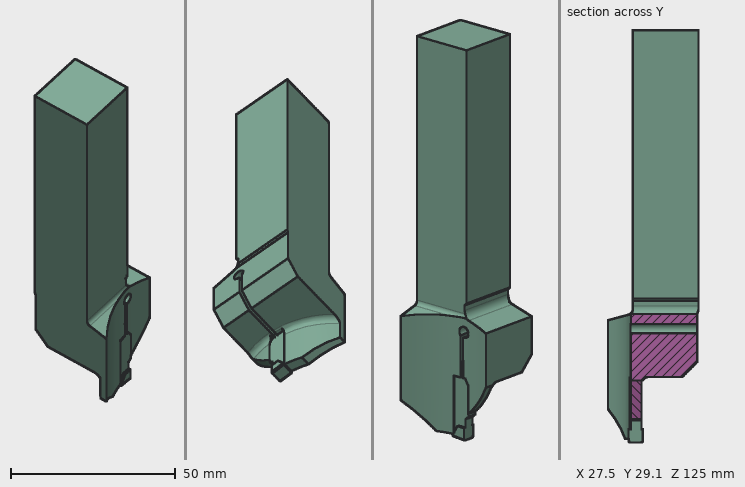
import cadquery as cq
import math

shank_size = 20.0
shank_top = 125.0
head_width = 27.5
head_depth = 29.1
head_bottom = 19.9
side_relief = 0.4
relief_start = 40.2
relief_end = 39.1
head_chamfer = 4.6
shoulder_z = 37.1
back_shoulder_z = 36.6
shoulder_slope = math.tan(math.radians(15))
shoulder_fillet = 1.5
back_shoulder_fillet = 2.8
undercut_face = 19.2
undercut_top = 43.8

outer_radius = 34.2
outer_face_x = 20.5
outer_center_y = 20.8
inner_radius = 29.0
inner_face_x = 17.2
inner_center_y = 20.0
root_fillet = 2.0
blade_bottom = 1.1
blade_front_z = 10.1
blade_flat_y = 9.9
blade_back_arc = [(20.0, 7.8), (23.9, 11.5), (head_depth, 19.2)]

slit_front = 18.1
slit_width = 1.0
slit_hole_y = 19.4
slit_hole_z = 34.5
slit_hole_radius = 1.8

insert_front = 15.5
insert_back = 21.1
cutting_face_y = 20.0
insert_thickness = outer_face_x - inner_face_x
insert_top = 19.8
insert_corner = 2.0
corner_back = 19.9
neck_low_z = 6.8
neck_high_z = 7.8
tenon_top = 24.8
tip_overhang = 0.4
tip_width = 4.4
tip_height = 4.1
tip_front_y = 17.4
tip_front_z = 1.0
tip_chamfer = 0.4
heel_rise = 0.4


def extrude_x(outline, start, length):
    """Extrude a YZ outline along +X."""
    return outline.extrude(length).translate((start, 0, 0))


def cylinder(center_x, center_y, radius):
    return cq.Workplane("XY").center(center_x, center_y).circle(radius).extrude(shank_top)


def front_outline():
    """Shank, shoulder and head as one XZ outline."""
    shoulder_top = shoulder_z + shoulder_slope * (head_width - shank_size)
    outline = (
        cq.Workplane("XZ")
        .moveTo(0, shank_top)
        .lineTo(shank_size, shank_top)
        .lineTo(shank_size, shoulder_top)
        .lineTo(head_width, shoulder_z)
        .lineTo(head_width, 0)
        .lineTo(side_relief + head_chamfer, 0)
        .lineTo(side_relief + head_chamfer, head_bottom)
        .lineTo(side_relief, head_bottom + head_chamfer)
        .lineTo(side_relief, relief_end)
        .lineTo(0, relief_start)
        .close()
        .extrude(-head_depth)
    )
    corner = cq.selectors.NearestToPointSelector((shank_size, head_depth / 2, shoulder_top))
    return outline.edges(corner).fillet(shoulder_fillet)


def side_outline():
    """Shank, undercut, head and tapered blade as one YZ outline."""
    undercut_step = shank_size - undercut_face
    shoulder_root = back_shoulder_z + shoulder_slope * (head_depth - undercut_face)
    start, middle, end = blade_back_arc
    outline = (
        cq.Workplane("YZ")
        .moveTo(0, shank_top)
        .lineTo(shank_size, shank_top)
        .lineTo(shank_size, undercut_top)
        .lineTo(undercut_face, undercut_top - undercut_step)
        .lineTo(undercut_face, shoulder_root)
        .lineTo(head_depth, back_shoulder_z)
        .lineTo(*end)
        .threePointArc(middle, start)
        .lineTo(cutting_face_y, blade_bottom)
        .lineTo(blade_flat_y, blade_bottom)
        .lineTo(0, blade_front_z)
        .close()
    )
    solid = extrude_x(outline, 0, head_width)
    corner = cq.selectors.NearestToPointSelector((head_width / 2, undercut_face, shoulder_root))
    return solid.edges(corner).fillet(back_shoulder_fillet)


def clearance_below_head():
    """Space beside the blade, rounded where it meets the head and blade."""
    space = (
        cq.Workplane("XY")
        .rect(2 * head_width, 4 * head_depth)
        .extrude(head_bottom)
        .cut(cylinder(inner_face_x + inner_radius, inner_center_y, inner_radius))
    )
    root = cq.selectors.NearestToPointSelector((inner_face_x, inner_center_y, head_bottom))
    return space.edges(root).fillet(root_fillet)


def clamping_slit():
    slit = cq.Workplane("XY").box(
        head_width, slit_width, slit_hole_z - head_bottom, centered=False
    ).translate((0, slit_front, head_bottom))
    hole = extrude_x(
        cq.Workplane("YZ").center(slit_hole_y, slit_hole_z).circle(slit_hole_radius), 0, head_width
    )
    return slit.union(hole)


def insert_plate(start, length):
    """Insert body with its tenon in the slit."""
    outline = (
        cq.Workplane("YZ")
        .moveTo(insert_front, heel_rise)
        .lineTo(cutting_face_y, 0)
        .lineTo(cutting_face_y, neck_low_z)
        .lineTo(insert_back, neck_high_z)
        .lineTo(insert_back, insert_top - insert_corner)
        .lineTo(corner_back, insert_top)
        .lineTo(slit_front + slit_width, insert_top)
        .lineTo(slit_front + slit_width, tenon_top)
        .lineTo(slit_front, tenon_top)
        .lineTo(slit_front, insert_top)
        .lineTo(insert_front, insert_top)
        .close()
    )
    return extrude_x(outline, start, length)


def insert_tip():
    """Wide cutting tip with bevelled lower corners."""
    outline = (
        cq.Workplane("YZ")
        .moveTo(insert_front, heel_rise)
        .lineTo(cutting_face_y, 0)
        .lineTo(cutting_face_y, tip_height)
        .lineTo(tip_front_y, tip_height)
        .lineTo(insert_front, tip_front_z)
        .close()
    )
    tip = extrude_x(outline, inner_face_x - tip_overhang, tip_width)
    lower_face = cq.selectors.NearestToPointSelector(
        (inner_face_x, (insert_front + cutting_face_y) / 2, 0)
    )
    return tip.faces(lower_face).edges("not |X").chamfer(tip_chamfer)


def make_insert():
    return insert_plate(inner_face_x, insert_thickness).union(insert_tip())


def make_holder():
    body = front_outline().intersect(side_outline())
    body = body.cut(cylinder(outer_face_x + outer_radius, outer_center_y, outer_radius))
    body = body.cut(clearance_below_head()).cut(clamping_slit())
    return body.cut(insert_plate(0, head_width)).cut(insert_tip())


holder = make_holder()
insert = make_insert()
result = cq.Compound.makeCompound([holder.solids().val(), insert.solids().val()])